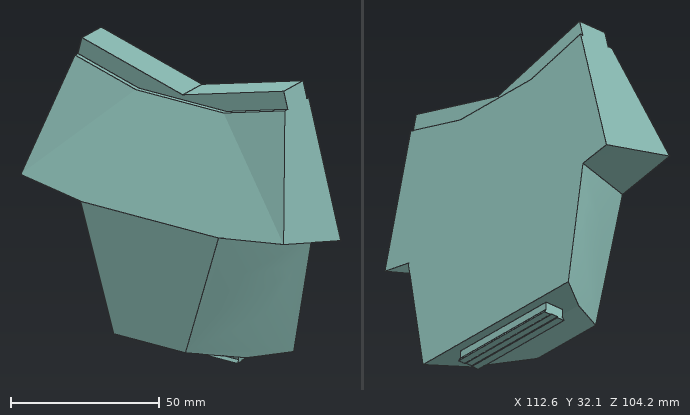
import cadquery as cq
import math

depth = 32.1
tilt = math.tan(math.radians(15))

wing_half_width = 56.3
wing_bottom_z = 45.0
shoulder_z = 94.1
shoulder_depth = 14.2
shoulder_flat_half_width = 18.0
wing_corner_z = 53.4
ridge_half_width = 28.4
ridge_z = 50.3

waist_half_width = 44.3
waist_z = 43.0
base_half_width = 36.9
base_front_half_width = 27.2
base_depth = 13.3
chin_half_width = 14.7
chin_z = 5.2

tongue_front = 12.5
tongue_back = 1.0
tongue_tip_z = 100.2

rail_length = 43.5
rail_center_y = -7.1
rail_stem_width = 7.3
rail_flange_width = 8.8
rail_height = 4.0
flare_start = 2.8
rail_groove_width = 2.9
rail_groove_depth = 0.3
rail_overlap = 1.1


def side_x(z):
    """Half width of the leaning wing side at height z."""
    return wing_half_width - (z - wing_bottom_z) * tilt


def flat(*points):
    """Planar face through the given corners."""
    return cq.Face.makeFromWires(cq.Wire.makePolygon([cq.Vector(*p) for p in points], close=True))


def twisted(a, b, c, d):
    """Ruled face spanning edges a-b and d-c."""
    return cq.Face.makeRuledSurface(
        cq.Edge.makeLine(cq.Vector(*a), cq.Vector(*b)),
        cq.Edge.makeLine(cq.Vector(*d), cq.Vector(*c)),
    )


def make_body():
    """Faceted body, closed from faces that are symmetric about X = 0."""
    shoulder_x = side_x(shoulder_z)
    shoulder_flat_z = shoulder_z - (shoulder_x - shoulder_flat_half_width) * tilt
    front_slope = (depth - shoulder_depth) / (shoulder_flat_z - ridge_z)
    wing_corner_depth = depth - (wing_corner_z - ridge_z) * front_slope

    shoulder_back = (shoulder_x, 0, shoulder_z)
    shoulder_front = (shoulder_x, -shoulder_depth, shoulder_z)
    flat_back = (shoulder_flat_half_width, 0, shoulder_flat_z)
    flat_front = (shoulder_flat_half_width, -shoulder_depth, shoulder_flat_z)
    wing_back = (wing_half_width, 0, wing_bottom_z)
    wing_front = (side_x(wing_corner_z), -wing_corner_depth, wing_corner_z)
    ridge = (ridge_half_width, -depth, ridge_z)
    waist = (waist_half_width, 0, waist_z)
    chin = (chin_half_width, -depth, chin_z)
    base_front = (base_front_half_width, -base_depth, 0)
    base_back = (base_half_width, 0, 0)

    def spanning(*points):
        """Planar face crossing X = 0, mirrored from its right-hand corners."""
        return flat(*points, *[(-x, y, z) for x, y, z in reversed(points)])

    side_faces = [
        flat(shoulder_back, shoulder_front, flat_front, flat_back),
        flat(shoulder_back, shoulder_front, wing_front, wing_back),
        flat(shoulder_front, flat_front, wing_front),
        twisted(wing_back, wing_front, ridge, waist),
        twisted(waist, ridge, chin, base_back),
        flat(base_back, chin, base_front),
    ]
    center_faces = [
        spanning(flat_back, shoulder_back, wing_back, waist, base_back),
        spanning(flat_back, flat_front),
        spanning(flat_front, wing_front, ridge),
        spanning(ridge, chin),
        spanning(chin, base_front),
        spanning(base_front, base_back),
    ]
    mirrored_faces = [face.mirror("YZ") for face in side_faces]
    shell = cq.Shell.makeShell(side_faces + mirrored_faces + center_faces)
    return cq.Workplane(cq.Solid.makeSolid(shell))


def make_tongue():
    """V-topped tongue whose ends continue the wing sides, rooted inside the body."""
    tip_x = side_x(tongue_tip_z)
    valley_z = tongue_tip_z - tip_x * tilt
    root_z = (ridge_z + shoulder_z) / 2
    root_x = side_x(root_z)
    return (
        cq.Workplane("XZ", origin=(0, -tongue_back, 0))
        .polyline([(-root_x, root_z), (root_x, root_z), (tip_x, tongue_tip_z),
                   (0, valley_z), (-tip_x, tongue_tip_z)])
        .close()
        .extrude(tongue_front - tongue_back)
    )


def make_foot_rail():
    """Flared rail along X with a shallow groove in its underside."""
    half_stem = rail_stem_width / 2
    half_flange = rail_flange_width / 2
    half_groove = rail_groove_width / 2
    groove_z = rail_groove_depth - rail_height
    half_profile = [
        (half_stem, rail_overlap),
        (half_stem, -flare_start),
        (half_flange, -rail_height),
        (half_groove, -rail_height),
        (half_groove, groove_z),
    ]
    other_half = [(-y, z) for y, z in reversed(half_profile)]
    return (
        cq.Workplane("YZ", origin=(0, rail_center_y, 0))
        .polyline(half_profile + other_half)
        .close()
        .extrude(rail_length / 2, both=True)
    )


result = make_body().union(make_tongue()).union(make_foot_rail())